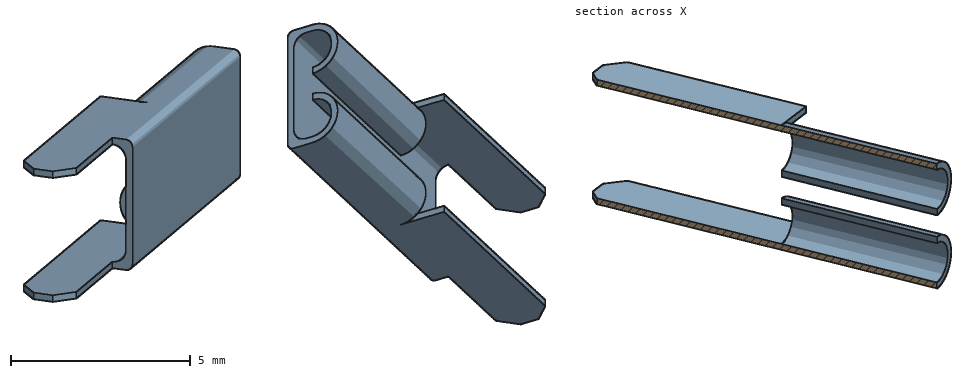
import cadquery as cq

width = 2.18
length = 11.18
height = 3.86
sheet = 0.2

wall_length = 8.0
outer_bend_radius = 0.2
inner_bend_radius = 0.4

curl_length = 4.97
curl_outer_radius = 0.8
curl_inner_radius = curl_outer_radius - sheet

tab_width = 1.58
tip_chamfer = 0.5

left = -width / 2
right = width / 2
front = -length / 2
back = length / 2
wall_front = back - wall_length
curl_front = back - curl_length
tab_right = left + tab_width
curl_x = right - curl_outer_radius
curl_z = height / 2 - curl_outer_radius


def box(x0, x1, y0, y1, z0, z1):
    """Box spanning the given limits."""
    return cq.Workplane("XY").box(x1 - x0, y1 - y0, z1 - z0, centered=False).translate((x0, y0, z0))


def channel():
    """C-shaped channel: back wall with a bend to each flange."""
    outer = box(curl_x, right, wall_front, back, -height / 2, height / 2)
    outer = outer.edges("|Y and >X").fillet(outer_bend_radius)
    inner = box(left, right - sheet, wall_front, back, sheet - height / 2, height / 2 - sheet)
    inner = inner.edges("|Y and >X").fillet(inner_bend_radius)
    return outer.cut(inner)


def upper_tab():
    """Flat flange in front of the curl, narrowing to a chamfered contact tab."""
    outline = [
        (left, curl_front),
        (left, front + tip_chamfer),
        (left + tip_chamfer, front),
        (tab_right - tip_chamfer, front),
        (tab_right, front + tip_chamfer),
        (tab_right, wall_front),
        (tab_right, curl_front),
    ]
    return cq.Workplane("XY", origin=(0, 0, height / 2 - sheet)).polyline(outline).close().extrude(sheet)


def upper_curl():
    """Half tube rolled from the flange toward the middle of the channel."""
    return (
        cq.Workplane("XZ", origin=(curl_x, back, curl_z))
        .moveTo(0, curl_outer_radius)
        .threePointArc((-curl_outer_radius, 0), (0, -curl_outer_radius))
        .lineTo(0, -curl_inner_radius)
        .threePointArc((-curl_inner_radius, 0), (0, curl_inner_radius))
        .close()
        .extrude(curl_length)
    )


upper_side = upper_tab().union(upper_curl())
lower_side = upper_side.mirror("XY")
result = channel().union(upper_side).union(lower_side)